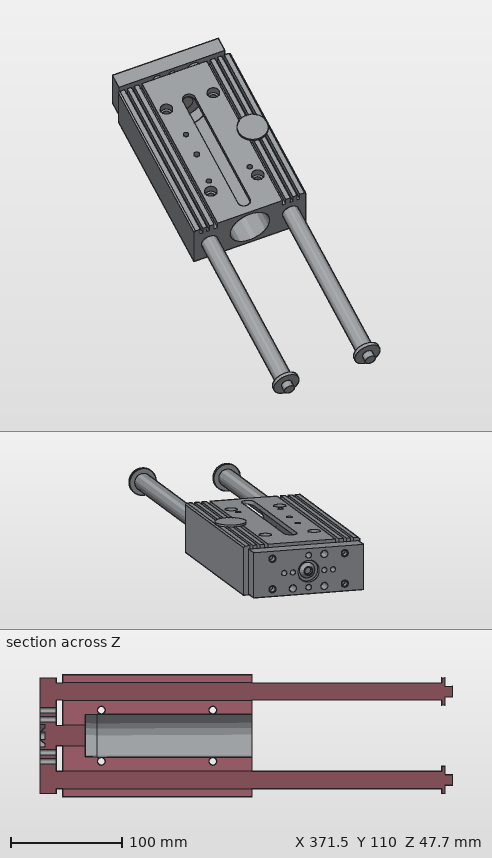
import cadquery as cq
import math


HOUSING_LENGTH = 170.5
HOUSING_WIDTH = 110.0
HOUSING_HEIGHT = 45.7
HOUSING_FRONT = 20.5
HOUSING_BACK = HOUSING_FRONT + HOUSING_LENGTH
MID_X = HOUSING_FRONT + HOUSING_LENGTH / 2
EDGE_CHAMFER = 1.5

GROOVE_DEPTH = 6.7
GROOVES = ((33.5, 3.5), (41.0, 2.5), (47.5, 2.5))

BADGE_DIAMETER = 28.2
BADGE_HEIGHT = 2.0

SLOT_START = 47.5
SLOT_END = 183.0
SLOT_WIDTH = 12.0

AXIS_Z = 23.0
BORE_DIAMETER = 38.5
BORE_START = 51.5
GLAND_BORE_DIAMETER = 38.0
GLAND_BORE_START = 41.0

MOUNT_X = (55.5, 155.5)
MOUNT_Y = 23.0
MOUNT_DIAMETER = 6.7
MOUNT_HEAD_DIAMETER = 11.0
MOUNT_HEAD_DEPTH = 7.5

SMALL_HOLE_DEPTH = 7.5
SCREW_HOLE_DIAMETER = 5.0
SCREW_HOLE_POINTS = ((88.5, -18.2), (144.5, 20.0), (144.5, -20.0))
PIN_HOLE_DIAMETER = 5.2
PIN_HOLE_POINTS = ((112.5, -18.2),)
DRILL_POINT_ANGLE = 118.0

TOTAL_LENGTH = 371.5
PLATE_THICKNESS = 15.0
PLATE_WIDTH = 104.0
PLATE_HEIGHT = 42.0

ROD_DIAMETER = 16.0
ROD_Y = 39.8
ROD_DROP = 2.0
UPPER_ROD_Z = 24.0
RODS = ((ROD_Y, UPPER_ROD_Z), (-ROD_Y, UPPER_ROD_Z - ROD_DROP))
FLANGE_DIAMETER = 25.0
FLANGE_THICKNESS = 3.5
FLANGE_START = 361.5
STUD_DIAMETER = 10.0

PISTON_ROD_DIAMETER = 18.5
BUMPER_DIAMETER = 12.0
BUMPER_Y = 21.0
BUMPER_Z = 35.3

RECESS_DIAMETER = 20.0
RECESS_DEPTH = 4.5
BOSS_BASE_DIAMETER = 14.5
BOSS_TIP_DIAMETER = 8.0
BOSS_HEIGHT = 3.7
BOSS_HOLE_DIAMETER = 6.7

PLATE_HOLE_Y = 15.0
PLATE_HOLE_Z = 15.0
CORNER_HOLE_Y = 34.0
CORNER_HOLE_Z = 14.0
LARGE_HOLE_DIAMETER = 6.7
CORNER_HOLE_DIAMETER = 6.7
CORNER_CORE_DIAMETER = 5.2
CORNER_CORE_DEPTH = 7.5
CENTRE_HOLE_DIAMETER = 5.2
SIDE_HOLE_DIAMETER = 5.0
SIDE_HOLE_Y = (PLATE_HOLE_Y, 23.0)


def round_bar(y, z, diameter, start, end):
    """Round bar along X, used for solid rods and for cutting bores."""
    return cq.Workplane("YZ", origin=(start, y, z)).circle(diameter / 2).extrude(end - start)


def drilled_hole(x, y, diameter):
    """Blind hole in the housing top, with a drill point at its bottom."""
    radius = diameter / 2
    point_height = radius / math.tan(math.radians(DRILL_POINT_ANGLE / 2))
    profile = [
        (0, 0),
        (radius, 0),
        (radius, -SMALL_HOLE_DEPTH),
        (0, -SMALL_HOLE_DEPTH - point_height),
    ]
    tool = cq.Workplane("XZ").polyline(profile).close().revolve(360, (0, 0, 0), (0, 1, 0))
    return tool.translate((x, y, HOUSING_HEIGHT))


def housing_block():
    block = cq.Workplane("XY").box(
        HOUSING_LENGTH, HOUSING_WIDTH, HOUSING_HEIGHT, centered=(False, True, False)
    )
    block = block.faces(">Z").edges("|X").chamfer(EDGE_CHAMFER)
    return block.translate((HOUSING_FRONT, 0, 0))


def sensor_groove(y, width):
    """Straight groove along the whole top."""
    return (
        cq.Workplane("XY", origin=(MID_X, y, HOUSING_HEIGHT - GROOVE_DEPTH))
        .rect(HOUSING_LENGTH, width)
        .extrude(GROOVE_DEPTH)
    )


def top_badge():
    return (
        cq.Workplane("XY", origin=(MID_X, ROD_Y, HOUSING_HEIGHT))
        .circle(BADGE_DIAMETER / 2)
        .extrude(BADGE_HEIGHT)
    )


def top_slot():
    """Round-ended slot from the top down into the piston bore."""
    middle = (SLOT_START + SLOT_END) / 2
    return (
        cq.Workplane("XY", origin=(middle, 0, AXIS_Z))
        .slot2D(SLOT_END - SLOT_START, SLOT_WIDTH)
        .extrude(HOUSING_HEIGHT - AXIS_Z)
    )


def build_housing():
    body = housing_block()
    for offset, width in GROOVES:
        body = body.cut(sensor_groove(offset, width)).cut(sensor_groove(-offset, width))
    body = body.union(top_badge())
    body = body.cut(top_slot())
    body = body.cut(round_bar(0, AXIS_Z, BORE_DIAMETER, BORE_START, HOUSING_BACK))
    body = body.cut(round_bar(0, AXIS_Z, GLAND_BORE_DIAMETER, GLAND_BORE_START, BORE_START))
    body = body.cut(round_bar(0, AXIS_Z, PISTON_ROD_DIAMETER, HOUSING_FRONT, GLAND_BORE_START))
    for y, z in RODS:
        body = body.cut(round_bar(y, z, ROD_DIAMETER, HOUSING_FRONT, HOUSING_BACK))
    body = (
        body.copyWorkplane(cq.Workplane("XY", origin=(0, 0, HOUSING_HEIGHT)))
        .pushPoints([(x, y) for x in MOUNT_X for y in (-MOUNT_Y, MOUNT_Y)])
        .cboreHole(MOUNT_DIAMETER, MOUNT_HEAD_DIAMETER, MOUNT_HEAD_DEPTH)
    )
    for x, y in SCREW_HOLE_POINTS:
        body = body.cut(drilled_hole(x, y, SCREW_HOLE_DIAMETER))
    for x, y in PIN_HOLE_POINTS:
        body = body.cut(drilled_hole(x, y, PIN_HOLE_DIAMETER))
    return body


def plate_holes(points, diameter):
    """Holes through the plate; points are (y, z) from the piston axis."""
    return (
        cq.Workplane("YZ", origin=(0, 0, AXIS_Z))
        .pushPoints(points)
        .circle(diameter / 2)
        .extrude(PLATE_THICKNESS)
    )


def countersunk_hole(y, z):
    """Blind hole with a countersunk mouth, placed from the piston axis."""
    rim = CORNER_HOLE_DIAMETER / 2
    core = CORNER_CORE_DIAMETER / 2
    profile = [
        (0, 0),
        (0, rim),
        (rim - core, core),
        (CORNER_CORE_DEPTH, core),
        (CORNER_CORE_DEPTH, 0),
    ]
    tool = cq.Workplane("XY").polyline(profile).close().revolve(360, (0, 0, 0), (1, 0, 0))
    return tool.translate((0, y, AXIS_Z + z))


def end_plate():
    plate = (
        cq.Workplane("YZ", origin=(0, 0, AXIS_Z))
        .rect(PLATE_WIDTH, PLATE_HEIGHT)
        .extrude(PLATE_THICKNESS)
    )
    corners = [
        (side * CORNER_HOLE_Y, level * CORNER_HOLE_Z) for side in (-1, 1) for level in (-1, 1)
    ]
    large = [
        (-PLATE_HOLE_Y, PLATE_HOLE_Z),
        (-PLATE_HOLE_Y, -PLATE_HOLE_Z),
        (PLATE_HOLE_Y, -PLATE_HOLE_Z),
    ]
    centre = [(0, PLATE_HOLE_Z), (0, -PLATE_HOLE_Z)]
    sides = [(side * y, 0) for side in (-1, 1) for y in SIDE_HOLE_Y]
    for y, z in corners:
        plate = plate.cut(countersunk_hole(y, z))
    plate = plate.cut(plate_holes(large, LARGE_HOLE_DIAMETER))
    plate = plate.cut(plate_holes(centre, CENTRE_HOLE_DIAMETER))
    return plate.cut(plate_holes(sides, SIDE_HOLE_DIAMETER))


def recess_boss():
    """Tapered end of the piston rod, standing on the recess floor and drilled along its axis."""
    tip = RECESS_DEPTH - BOSS_HEIGHT
    boss = (
        cq.Workplane("YZ", origin=(RECESS_DEPTH, 0, AXIS_Z))
        .circle(BOSS_BASE_DIAMETER / 2)
        .workplane(offset=-BOSS_HEIGHT)
        .circle(BOSS_TIP_DIAMETER / 2)
        .loft()
    )
    return boss.cut(round_bar(0, AXIS_Z, BOSS_HOLE_DIAMETER, tip, RECESS_DEPTH))


def guide_rod(y, z):
    flange_end = FLANGE_START + FLANGE_THICKNESS
    bar = round_bar(y, z, ROD_DIAMETER, PLATE_THICKNESS, FLANGE_START)
    bar = bar.union(round_bar(y, z, FLANGE_DIAMETER, FLANGE_START, flange_end))
    return bar.union(round_bar(y, z, STUD_DIAMETER, flange_end, TOTAL_LENGTH))


def build_slide():
    body = end_plate().cut(round_bar(0, AXIS_Z, RECESS_DIAMETER, 0, RECESS_DEPTH))
    body = body.union(recess_boss())
    for y, z in RODS:
        body = body.union(guide_rod(y, z))
    body = body.union(round_bar(0, AXIS_Z, PISTON_ROD_DIAMETER, PLATE_THICKNESS, GLAND_BORE_START))
    return body.union(round_bar(BUMPER_Y, BUMPER_Z, BUMPER_DIAMETER, PLATE_THICKNESS, HOUSING_FRONT))


housing = build_housing()
slide = build_slide()
result = cq.Compound.makeCompound([*housing.solids().vals(), *slide.solids().vals()])